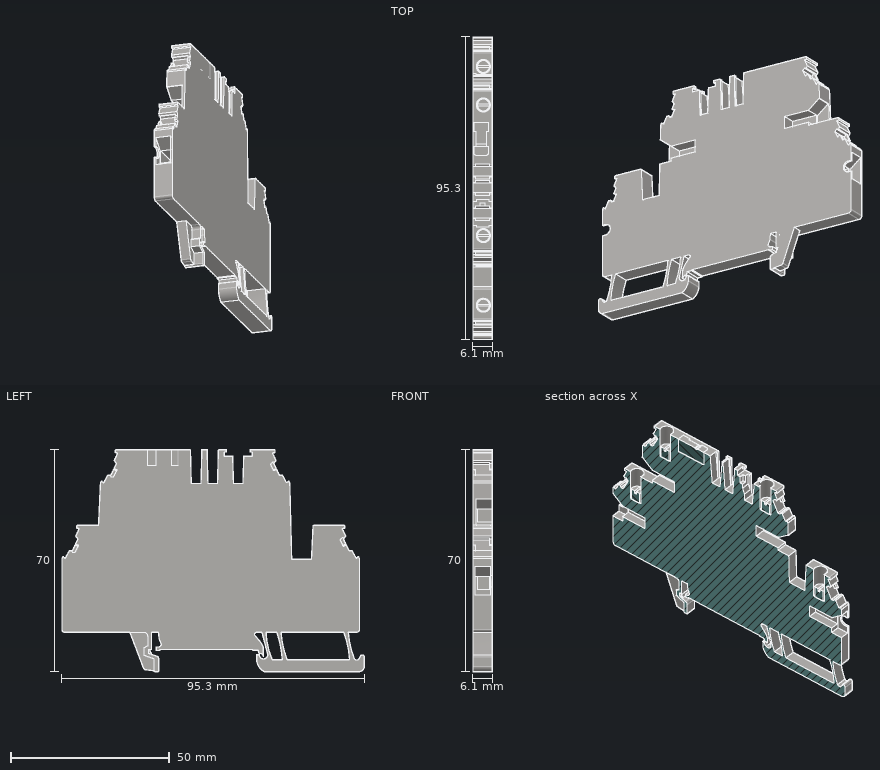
import cadquery as cq


WIDTH = 6.1
TOP = 70.0
LOWER_TOP = 46.2
BODY_BOTTOM = 12.4
RAIL_FACE = 7.0
POCKET_FLOOR = 35.5
POCKET_FAR = 22.85
POCKET_NEAR = 16.7
POCKET_DRAFT = 0.5
UPPER_WALL_FOOT = 83.8

FAR_LOWER = (90.68, LOWER_TOP, 1)
FAR_UPPER = (78.55, TOP, 1)
NEAR_UPPER = (28.1, TOP, -1)
NEAR_LOWER = (6.15, LOWER_TOP, -1)
NOSES = (FAR_LOWER, FAR_UPPER, NEAR_UPPER, NEAR_LOWER)
NOSE_REACH = 4.65
NOSE_PROFILE = [
    (0, 0),
    (0, 0.95),
    (-0.8, 1.1),
    (0.3, 3.4),
    (-0.4, 4.4),
    (1.35, 8.0),
    (2.3, 8.0),
    (3.6, 10.4),
    (4.3, 9.85),
    (NOSE_REACH, 10.55),
]
MARKER_WALL = 0.8
UPPER_MARKER = [(-1.5, 4.6), (-0.5, 6.6), (0.55, 6.15), (-0.2, 4.0), (-0.8, 3.9)]
LOWER_MARKER = [(0.5, 6.0), (-0.6, 6.4), (0.5, 8.6), (1.3, 8.6), (1.6, 8.0)]

SLOT_FLOOR = 59.4
SLOT_DRAFT = 0.25
BRIDGE_SLOTS = ((54.5, 51.5), (49.25, 46.3), (41.2, 38.3))
HOOK_FLOOR = 68.0
HOOK_UNDERSIDE = 69.2
FAR_HOOK_TIP = 43.45
FAR_HOOK_ROOT = 44.1
NEAR_HOOK_TIP = 36.0
NEAR_HOOK_ROOT = 35.4
HOOK_GAP = (1.2, 5.0)
SLOT_POST = 0.85
SLOT_RELIEF = 0.6
LEDGE_FOOT = 61.7
LEDGE_HEAD = 63.9
KEYWAY_WIDTH = 1.6
KEYWAY_LENGTH = 1.0
KEYWAY_DEPTH = 2.5

ENTRY_DEPTH = 4.0
BORE_DEPTH = 9.0
BORE_LEFT = 1.45
BORE_RIGHT = 5.3
BORE_HEIGHT = 4.1
BORE_DROP = 3.1
UPPER_ENTRY_TOP = 54.4
UPPER_ENTRY_FLOOR = LOWER_TOP
LOWER_ENTRY_TOP = 33.2
LOWER_ENTRY_FLOOR = 24.2
UPPER_ENTRY_LEFT = 0.9
LOWER_ENTRY_LEFT = 0.6
LOWER_ENTRY_RIGHT = 5.5
SIDE_NOTCH_RADIUS = 1.8
SIDE_NOTCH_REACH = 1.1
SIDE_NOTCH_Z = 28.5

SCREW_X = 3.3
SCREW_INSET = 4.65
SCREW_HOLE_DIAMETER = 4.4
SCREW_HOLE_DEPTH = 11.0
SCREW_DIAMETER = 3.8
SCREW_LENGTH = 4.0
SCREW_SLOT_WIDTH = 0.6
SCREW_SLOT_DEPTH = 1.0

INSERT_LEFT = 0.3
INSERT_RIGHT = 4.9
INSERT_NECK_LEFT = 0.9
INSERT_NECK_RIGHT = 4.35
INSERT_FAR = 68.4
INSERT_HEAD_END = 65.6
INSERT_BLOCK_START = 60.75
INSERT_NEAR = 58.05
INSERT_DEPTH = 5.0
INSERT_CORNER = 0.7
INSERT_GROOVE_WIDTH = 0.85
INSERT_GROOVE_DEPTH = 0.3

LATCH_RIB_X = 2.9
FOOT_WINDOW_FLOOR = 3.8

CUT_MARGIN = 1.0
EDGE_RADIUS = 0.4
BODY_CORNER_RADIUS = 1.0


def prism(points, x_start=0.0, x_end=WIDTH):
    """Extrude a closed (Y, Z) outline from x_start to x_end."""
    return cq.Workplane("YZ", origin=(x_start, 0, 0)).polyline(points).close().extrude(x_end - x_start)


def box(x_range, y_range, z_range):
    """Box between two X, two Y and two Z positions."""
    sizes = [abs(span[1] - span[0]) for span in (x_range, y_range, z_range)]
    corner = (min(x_range), min(y_range), min(z_range))
    return cq.Workplane("XY").box(*sizes, centered=False).translate(corner)


def on_nose(nose, profile):
    """Place (outward, down) profile points on a nose as (Y, Z) points."""
    lip, top, direction = nose
    return [(lip + direction * outward, top - down) for outward, down in profile]


def round_edges(body, corners, radius):
    """Fillet the edges along X that pass through the given (Y, Z) corners."""
    tolerance = 0.05
    edges = body.edges("|X").filter(
        lambda edge: any(
            abs(edge.Center().y - y) < tolerance and abs(edge.Center().z - z) < tolerance
            for y, z in corners
        )
    )
    return body.newObject(edges.vals()).fillet(radius)


def make_upper_body():
    """Stepped block above BODY_BOTTOM, with noses, bridge slots and the open pocket."""
    far_wall = FAR_LOWER[0] + NOSE_REACH
    near_wall = NEAR_LOWER[0] - NOSE_REACH
    (far_1, near_1), (far_2, near_2), (far_3, near_3) = BRIDGE_SLOTS
    outline = [
        (far_wall, BODY_BOTTOM),
        *reversed(on_nose(FAR_LOWER, NOSE_PROFILE)),
        (UPPER_WALL_FOOT, LOWER_TOP),
        *reversed(on_nose(FAR_UPPER, NOSE_PROFILE)),
        (far_1 + SLOT_DRAFT, TOP),
        (far_1, SLOT_FLOOR),
        (near_1, SLOT_FLOOR),
        (near_1 - SLOT_DRAFT, TOP),
        (far_2 + SLOT_DRAFT, TOP),
        (far_2, SLOT_FLOOR),
        (near_2, SLOT_FLOOR),
        (near_2 - SLOT_DRAFT, TOP),
        (FAR_HOOK_TIP, TOP),
        (FAR_HOOK_TIP, HOOK_UNDERSIDE),
        (FAR_HOOK_ROOT, HOOK_UNDERSIDE),
        (FAR_HOOK_ROOT, HOOK_FLOOR),
        (far_3 + SLOT_DRAFT, HOOK_FLOOR),
        (far_3, SLOT_FLOOR),
        (near_3, SLOT_FLOOR),
        (near_3 - SLOT_DRAFT, HOOK_FLOOR),
        (NEAR_HOOK_ROOT, HOOK_FLOOR),
        (NEAR_HOOK_ROOT, HOOK_UNDERSIDE),
        (NEAR_HOOK_TIP, HOOK_UNDERSIDE),
        (NEAR_HOOK_TIP, TOP),
        *on_nose(NEAR_UPPER, NOSE_PROFILE),
        (POCKET_FAR, POCKET_FLOOR),
        (POCKET_NEAR, POCKET_FLOOR),
        (POCKET_NEAR - POCKET_DRAFT, LOWER_TOP),
        *on_nose(NEAR_LOWER, NOSE_PROFILE),
        (near_wall, BODY_BOTTOM),
    ]
    body = prism(outline)
    body = round_edges(body, [(far_wall, BODY_BOTTOM), (near_wall, BODY_BOTTOM)], BODY_CORNER_RADIUS)
    rounded = [
        (far_1 + SLOT_DRAFT, TOP),
        (near_2 - SLOT_DRAFT, TOP),
        (POCKET_NEAR - POCKET_DRAFT, LOWER_TOP),
        *[(lip, top) for lip, top, _ in NOSES],
    ]
    return round_edges(body, rounded, EDGE_RADIUS)


def make_rail_seat():
    """Block under the body that rests on the rail, with a catch at each end."""
    return (
        cq.Workplane("YZ")
        .moveTo(64.9, BODY_BOTTOM)
        .lineTo(64.7, 10.4)
        .lineTo(63.95, 8.5)
        .lineTo(64.5, 7.9)
        .lineTo(65.6, 7.8)
        .lineTo(65.6, 6.7)
        .lineTo(64.4, 6.7)
        .lineTo(64.4, RAIL_FACE)
        .lineTo(35.3, RAIL_FACE)
        .lineTo(35.1, 6.75)
        .lineTo(33.5, 6.75)
        .lineTo(33.2, 5.75)
        .lineTo(32.4, 5.75)
        .lineTo(31.8, 4.9)
        .lineTo(31.8, 7.7)
        .threePointArc((32.55, 9.2), (33.3, 10.1))
        .lineTo(34.55, 11.6)
        .threePointArc((34.5, 12.1), (34.0, BODY_BOTTOM))
        .close()
        .extrude(WIDTH)
    )


def make_latch():
    """Springy latch stem with a hooked toe, plus the rib that stiffens it."""
    stem = (
        cq.Workplane("YZ")
        .moveTo(69.4, BODY_BOTTOM)
        .threePointArc((68.55, 12.0), (68.25, 11.2))
        .lineTo(68.25, 8.2)
        .lineTo(69.4, 7.6)
        .lineTo(69.4, 5.2)
        .lineTo(66.3, 4.1)
        .lineTo(66.3, 0.0)
        .lineTo(64.75, 0.0)
        .lineTo(64.75, 4.1)
        .threePointArc((65.0, 4.7), (65.5, 5.0))
        .lineTo(68.0, 5.8)
        .lineTo(68.0, RAIL_FACE)
        .lineTo(67.05, RAIL_FACE)
        .lineTo(67.05, BODY_BOTTOM)
        .close()
        .extrude(WIDTH)
    )
    rib = (
        cq.Workplane("YZ", origin=(LATCH_RIB_X, 0, 0))
        .moveTo(73.9, BODY_BOTTOM)
        .lineTo(69.6, 1.1)
        .threePointArc((69.3, 0.75), (68.8, 0.6))
        .lineTo(66.3, 0.3)
        .lineTo(66.3, 4.1)
        .lineTo(68.25, 8.2)
        .lineTo(68.25, BODY_BOTTOM)
        .close()
        .extrude(WIDTH - LATCH_RIB_X)
    )
    toe_corners = [(66.3, 0.0), (64.75, 0.0)]
    return round_edges(stem, toe_corners, EDGE_RADIUS).union(rib)


def make_foot():
    """Foot lever hung under the body on three slanting legs."""
    foot = (
        cq.Workplane("YZ")
        .moveTo(32.3, BODY_BOTTOM)
        .lineTo(30.6, 5.9)
        .threePointArc((30.75, 4.6), (31.6, 4.1))
        .threePointArc((32.5, 4.3), (33.1, 5.4))
        .lineTo(33.95, 5.4)
        .lineTo(33.95, 3.5)
        .threePointArc((33.2, 1.5), (31.5, 0.0))
        .lineTo(1.7, 0.0)
        .threePointArc((0.5, 0.5), (0.0, 1.7))
        .lineTo(0.0, 4.6)
        .threePointArc((0.5, 5.3), (1.2, 5.1))
        .lineTo(1.7, 4.1)
        .threePointArc((2.4, 3.75), (3.1, 4.1))
        .threePointArc((4.3, 7.8), (5.0, BODY_BOTTOM))
        .close()
        .extrude(WIDTH)
    )
    small_window = (
        cq.Workplane("YZ")
        .moveTo(30.95, BODY_BOTTOM)
        .lineTo(27.6, BODY_BOTTOM)
        .threePointArc((26.4, 7.8), (25.9, FOOT_WINDOW_FLOOR))
        .lineTo(29.0, FOOT_WINDOW_FLOOR)
        .threePointArc((30.4, 8.2), (30.95, BODY_BOTTOM))
        .close()
        .extrude(WIDTH)
    )
    large_window = (
        cq.Workplane("YZ")
        .moveTo(26.2, BODY_BOTTOM)
        .lineTo(6.5, BODY_BOTTOM)
        .threePointArc((5.2, 7.8), (4.7, FOOT_WINDOW_FLOOR))
        .lineTo(24.3, FOOT_WINDOW_FLOOR)
        .threePointArc((25.6, 8.2), (26.2, BODY_BOTTOM))
        .close()
        .extrude(WIDTH)
    )
    return foot.cut(small_window).cut(large_window)


def marker_grooves(nose):
    """Two marker grooves; which side each is closed on swaps with the nose's direction."""
    open_left = (-CUT_MARGIN, WIDTH - MARKER_WALL)
    open_right = (MARKER_WALL, WIDTH + CUT_MARGIN)
    upper_span, lower_span = (open_right, open_left) if nose[2] > 0 else (open_left, open_right)
    upper = prism(on_nose(nose, UPPER_MARKER), *upper_span)
    return upper.union(prism(on_nose(nose, LOWER_MARKER), *lower_span))


def slot_reliefs():
    """Set the slot walls back between the end posts, leaning or above a sloping ledge."""
    lean = SLOT_DRAFT + SLOT_RELIEF
    post_to_post = (SLOT_POST, WIDTH - SLOT_POST)
    far, near = BRIDGE_SLOTS[2]
    ledged_outline = [
        (far, SLOT_FLOOR),
        (far, LEDGE_FOOT),
        (far + lean, LEDGE_HEAD),
        (far + lean, HOOK_FLOOR),
        (near - lean, HOOK_FLOOR),
        (near, SLOT_FLOOR),
    ]
    reliefs = prism(ledged_outline, *post_to_post)
    for far, near in BRIDGE_SLOTS[:2]:
        outline = [(far, SLOT_FLOOR), (far + lean, TOP), (near - lean, TOP), (near, SLOT_FLOOR)]
        reliefs = reliefs.add(prism(outline, *post_to_post))
    return reliefs.combine()


def hook_gaps():
    """Gap that leaves each hook only at its two ends."""
    z_range = (HOOK_UNDERSIDE, TOP)
    far_gap = box(HOOK_GAP, (FAR_HOOK_TIP, FAR_HOOK_ROOT), z_range)
    near_gap = box(HOOK_GAP, (NEAR_HOOK_TIP, NEAR_HOOK_ROOT), z_range)
    return far_gap.union(near_gap)


def keyway():
    """Small central notch in the far ledge of the third slot."""
    start = BRIDGE_SLOTS[2][0]
    middle = WIDTH / 2
    return box(
        (middle - KEYWAY_WIDTH / 2, middle + KEYWAY_WIDTH / 2),
        (start, start + SLOT_DRAFT + SLOT_RELIEF + KEYWAY_LENGTH),
        (HOOK_FLOOR - KEYWAY_DEPTH, HOOK_FLOOR),
    )


def wire_entry(nose, entry_top, entry_floor, left, right, bore_right):
    """Mouth with a sloping ceiling in the wall below a nose, and the square bore behind it."""
    lip, _, direction = nose
    wall = lip + direction * NOSE_REACH
    outside = wall + direction * CUT_MARGIN
    mouth_end = wall - direction * ENTRY_DEPTH
    bore_top = entry_top - BORE_DROP
    mouth_outline = [
        (outside, entry_floor),
        (outside, entry_top),
        (wall, entry_top),
        (mouth_end, bore_top),
        (mouth_end, entry_floor),
    ]
    bore = box(
        (BORE_LEFT, bore_right),
        (wall, mouth_end - direction * BORE_DEPTH),
        (bore_top - BORE_HEIGHT, bore_top),
    )
    return prism(mouth_outline, left, right).union(bore)


def side_notch(nose):
    """Round-ended notch through the +X wall of a lower wire entry."""
    lip, _, direction = nose
    wall = lip + direction * NOSE_REACH
    centre = wall - direction * SIDE_NOTCH_REACH
    length = WIDTH - LOWER_ENTRY_RIGHT + CUT_MARGIN
    start = LOWER_ENTRY_RIGHT - CUT_MARGIN
    end = (
        cq.Workplane("YZ", origin=(start, 0, 0))
        .center(centre, SIDE_NOTCH_Z)
        .circle(SIDE_NOTCH_RADIUS)
        .extrude(length + CUT_MARGIN)
    )
    mouth = box(
        (start, WIDTH + CUT_MARGIN),
        (centre, wall + direction * CUT_MARGIN),
        (SIDE_NOTCH_Z - SIDE_NOTCH_RADIUS, SIDE_NOTCH_Z + SIDE_NOTCH_RADIUS),
    )
    return end.union(mouth)


def screw_shaft(nose, diameter, bottom_depth, length):
    """Upright cylinder on a nose's screw axis; bottom_depth is below the nose top."""
    lip, top, direction = nose
    centre = (SCREW_X, lip - direction * SCREW_INSET, top - bottom_depth)
    return cq.Workplane("XY", origin=centre).circle(diameter / 2).extrude(length)


def make_screw(nose):
    """Slotted screw standing on the floor of its hole."""
    lip, top, direction = nose
    screw_y = lip - direction * SCREW_INSET
    head = top - SCREW_HOLE_DEPTH + SCREW_LENGTH
    slot = box(
        (SCREW_X - SCREW_DIAMETER, SCREW_X + SCREW_DIAMETER),
        (screw_y - SCREW_SLOT_WIDTH / 2, screw_y + SCREW_SLOT_WIDTH / 2),
        (head - SCREW_SLOT_DEPTH, head),
    )
    return screw_shaft(nose, SCREW_DIAMETER, SCREW_HOLE_DEPTH, SCREW_LENGTH).cut(slot)


def insert_blank():
    """I-shaped block that fills the recess in the top."""
    bottom = TOP - INSERT_DEPTH
    z_range = (bottom, TOP)
    head = box((INSERT_LEFT, INSERT_RIGHT), (INSERT_HEAD_END, INSERT_FAR), z_range)
    neck = box((INSERT_NECK_LEFT, INSERT_NECK_RIGHT), (INSERT_BLOCK_START, INSERT_HEAD_END), z_range)
    block = box((INSERT_LEFT, INSERT_RIGHT), (INSERT_NEAR, INSERT_BLOCK_START), z_range)
    block = block.edges("|Z and <Y").fillet(INSERT_CORNER)
    return head.union(neck).union(block)


def make_insert():
    """Insert with a shallow groove where the neck meets the block."""
    groove = box(
        (0, WIDTH),
        (INSERT_BLOCK_START, INSERT_BLOCK_START + INSERT_GROOVE_WIDTH),
        (TOP - INSERT_GROOVE_DEPTH, TOP),
    )
    return insert_blank().cut(groove)


def make_housing():
    """Moulded body with everything cut into it."""
    housing = make_upper_body().union(make_rail_seat()).union(make_latch()).union(make_foot())
    for nose in NOSES:
        housing = housing.cut(marker_grooves(nose))
        housing = housing.cut(screw_shaft(nose, SCREW_HOLE_DIAMETER, SCREW_HOLE_DEPTH, SCREW_HOLE_DEPTH))
    open_side = WIDTH + CUT_MARGIN
    for nose in (FAR_UPPER, NEAR_UPPER):
        entry = wire_entry(
            nose, UPPER_ENTRY_TOP, UPPER_ENTRY_FLOOR, UPPER_ENTRY_LEFT, open_side, open_side
        )
        housing = housing.cut(entry)
    for nose in (FAR_LOWER, NEAR_LOWER):
        entry = wire_entry(
            nose, LOWER_ENTRY_TOP, LOWER_ENTRY_FLOOR, LOWER_ENTRY_LEFT, LOWER_ENTRY_RIGHT, BORE_RIGHT
        )
        housing = housing.cut(entry).cut(side_notch(nose))
    return housing.cut(slot_reliefs()).cut(hook_gaps()).cut(keyway()).cut(insert_blank())


housing = make_housing()
screws = [make_screw(nose) for nose in NOSES]
insert = make_insert()

result = cq.Compound.makeCompound([housing.val(), *[screw.val() for screw in screws], insert.val()])